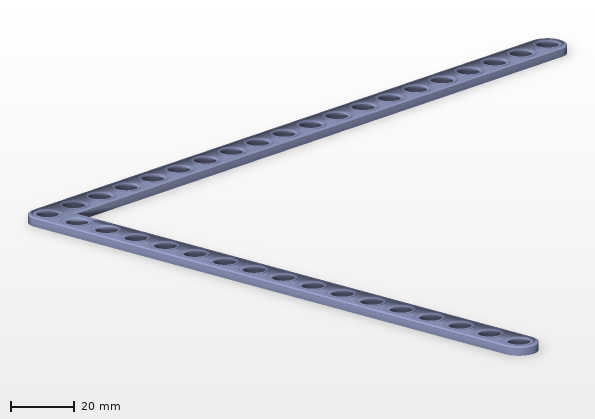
import cadquery as cq

pitch = 12.5
holes_along_x = 17
holes_along_y = 20
thickness = 3.0
hole_diameter = 7.0
ring_diameter = 9.2
edge_chamfer = 0.38
recess_depth = 0.2

rim_width = (ring_diameter - hole_diameter) / 2
reach_x = (holes_along_x - 1) * pitch
reach_y = (holes_along_y - 1) * pitch

hole_centers = [(i * pitch, 0) for i in range(holes_along_x)]
hole_centers += [(0, i * pitch) for i in range(1, holes_along_y)]


def make_angle(width, bottom, height):
    """Two round-ended arms of the given width that meet at the corner hole."""
    base = cq.Workplane("XY").workplane(offset=bottom)
    arm_x = base.center(reach_x / 2, 0).slot2D(reach_x + width, width).extrude(height)
    arm_y = base.center(0, reach_y / 2).slot2D(reach_y + width, width, 90).extrude(height)
    return arm_x.union(arm_y)


def make_cylinders(diameter, bottom, height):
    """One upright cylinder at every hole centre."""
    base = cq.Workplane("XY").workplane(offset=bottom)
    return base.pushPoints(hole_centers).circle(diameter / 2).extrude(height)


holes = make_cylinders(hole_diameter, 0, thickness)
strip = make_angle(pitch, 0, thickness).cut(holes)
strip = strip.faces(">Z").edges().chamfer(edge_chamfer)

recess_floor = thickness - recess_depth
rings = make_cylinders(ring_diameter, recess_floor, recess_depth)
recess = make_angle(pitch - 2 * rim_width, recess_floor, recess_depth).cut(rings)

result = strip.cut(recess)